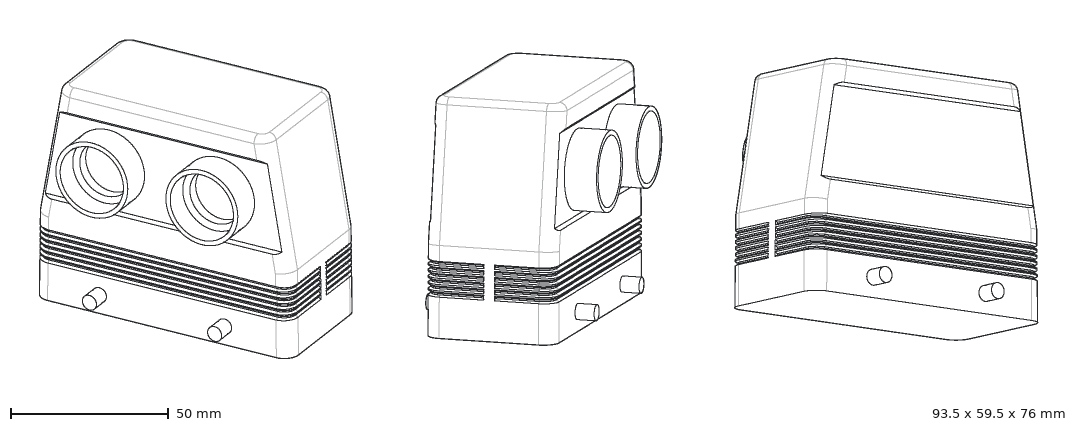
import cadquery as cq
import math


base_length = 93.5
shoulder_length = 92.75
body_width = 43.4
shoulder_height = 30.0
body_height = 76.0
housing_taper = 10.0
corner_radius = 5.1
top_edge_radius = 2.5

panel_bottom = 36.65
panel_top = 67.4
panel_depth = 1.0
panel_edge_run = 1.0

groove_count = 6
groove_depth = 1.0
groove_mouth = 1.7
groove_floor = 0.5
groove_ridge = 0.33
groove_pitch = groove_mouth + groove_ridge
lowest_groove_height = 14.1
groove_ring_length = 93.4
grip_gap = 3.6

entry_spacing = 40.0
entry_height = 51.9
entry_diameter = 26.2
entry_end = 31.4
entry_bore_diameter = 23.0
entry_bore_depth = 8.0
entry_seat_diameter = 19.0
entry_cone_depth = 1.0
entry_seat_depth = 3.7

pin_spacing = 45.5
pin_height = 6.5
pin_diameter = 5.1
pin_span = 56.1

half_width = body_width / 2
panel_plane = half_width - panel_depth


def make_body():
    """Tapered block with rounded upright corners and a rounded top edge."""
    taper_run = (body_height - shoulder_height) * math.tan(math.radians(housing_taper))
    half_base = base_length / 2
    half_shoulder = shoulder_length / 2
    half_top = half_shoulder - taper_run
    outline = [
        (-half_base, 0),
        (half_base, 0),
        (half_shoulder, shoulder_height),
        (half_top, body_height),
        (-half_top, body_height),
        (-half_shoulder, shoulder_height),
    ]
    block = cq.Workplane("XZ").polyline(outline).close().extrude(half_width, both=True)
    corner_edges = block.faces("<Y or >Y").edges("not #Z").edges("not |X")
    block = corner_edges.fillet(corner_radius)
    return block.faces(">Z").edges().fillet(top_edge_radius)


def make_panel_cut(side):
    """Full-length recess with sloping upper and lower edges; side is +1 or -1 along Y."""
    section = [
        (side * half_width, panel_bottom - panel_edge_run / 2),
        (side * panel_plane, panel_bottom + panel_edge_run / 2),
        (side * panel_plane, panel_top - panel_edge_run / 2),
        (side * half_width, panel_top + panel_edge_run / 2),
    ]
    return cq.Workplane("YZ").polyline(section).close().extrude(base_length / 2, both=True)


def make_groove(height):
    """Ring-shaped cutter with sloping walls, centred on the given height."""
    wall_run = (groove_mouth - groove_floor) / 2
    wall_angle = math.degrees(math.atan2(groove_depth, wall_run))

    def tapered_half(direction):
        plinth = (
            cq.Workplane("XY", origin=(0, 0, height + direction * groove_mouth / 2))
            .sketch()
            .rect(groove_ring_length, body_width)
            .vertices()
            .fillet(corner_radius)
            .finalize()
        )
        return plinth.extrude(-direction * wall_run, taper=wall_angle)

    core_length = groove_ring_length - 2 * groove_depth
    core_width = body_width - 2 * groove_depth
    slab_length = base_length + groove_depth
    slab_width = body_width + groove_depth
    centre = cq.Workplane("XY", origin=(0, 0, height))
    core = centre.box(core_length, core_width, groove_mouth)
    core = core.edges("|Z").fillet(corner_radius - groove_depth)
    slab = centre.box(slab_length, slab_width, groove_mouth)
    gap = centre.box(slab_length, grip_gap, groove_mouth)
    return slab.cut(core).cut(tapered_half(1)).cut(tapered_half(-1)).cut(gap)


def make_entry_boss(x):
    """Round boss running from the middle plane out to its -Y face."""
    section = cq.Workplane("XZ", origin=(x, 0, entry_height)).circle(entry_diameter / 2)
    return section.extrude(entry_end)


def make_entry_bore(x):
    """Wide bore, short cone and narrower blind bore, as one turned shape."""
    bore_radius = entry_bore_diameter / 2
    seat_radius = entry_seat_diameter / 2
    cone_end = entry_bore_depth + entry_cone_depth
    section = [
        (0, 0),
        (bore_radius, 0),
        (bore_radius, entry_bore_depth),
        (seat_radius, cone_end),
        (seat_radius, cone_end + entry_seat_depth),
        (0, cone_end + entry_seat_depth),
    ]
    bore = cq.Workplane("XY").polyline(section).close().revolve(360, (0, 0), (0, 1))
    return bore.translate((x, -entry_end, entry_height))


result = make_body()

for side in (-1, 1):
    result = result.cut(make_panel_cut(side))

for index in range(groove_count):
    result = result.cut(make_groove(lowest_groove_height + index * groove_pitch))

for x in (-entry_spacing / 2, entry_spacing / 2):
    result = result.union(make_entry_boss(x))
    result = result.cut(make_entry_bore(x))

for x in (-pin_spacing / 2, pin_spacing / 2):
    pin_section = cq.Workplane("XZ", origin=(x, 0, pin_height)).circle(pin_diameter / 2)
    result = result.union(pin_section.extrude(pin_span / 2, both=True))